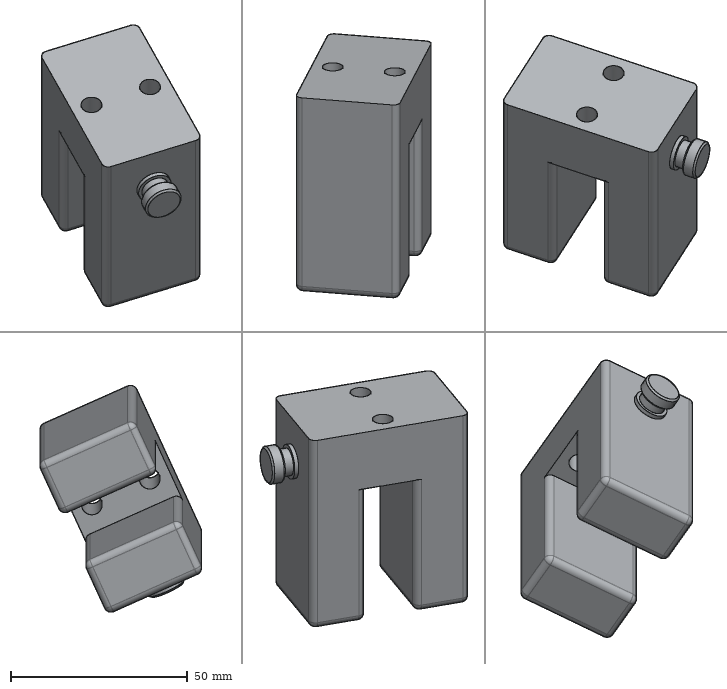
import cadquery as cq

body_length = 48.0
body_width = 30.0
body_height = 60.0
slot_width = 15.0
slot_height = 42.0
edge_radius = 2.0

hole_diameter = 5.9
hole_spacing = 18.0

knob_height = 46.6
collar_diameter = 10.0
collar_length = 1.2
neck_diameter = 8.0
neck_length = 2.8
head_diameter = 11.0
head_length = 3.95
head_chamfer = 0.55


def make_body():
    """Block split into two legs, rounded on its upright and bottom edges."""
    block = cq.Workplane("XY").box(body_length, body_width, body_height, centered=(True, True, False))
    slot = cq.Workplane("XY").box(slot_width, body_width, slot_height, centered=(True, True, False))
    fork = block.cut(slot)
    return fork.edges("|Z").fillet(edge_radius).faces("<Z").edges().fillet(edge_radius)


def make_holes():
    """Pair of drills passing from the top face into the slot."""
    return (
        cq.Workplane("XY")
        .workplane(offset=slot_height)
        .rarray(0.6, hole_spacing, 1, 2)
        .circle(hole_diameter / 2)
        .extrude(body_height - slot_height)
    )


def make_disc(start, diameter, length):
    """Cylinder on the knob axis, beginning at the given X."""
    return cq.Workplane("YZ", origin=(start, 0, knob_height)).circle(diameter / 2).extrude(length)


def make_knob():
    """Collar, neck and chamfered head stacked outward from the body."""
    collar_start = body_length / 2
    neck_start = collar_start + collar_length
    head_start = neck_start + neck_length
    collar = make_disc(collar_start, collar_diameter, collar_length)
    neck = make_disc(neck_start, neck_diameter, neck_length)
    head = make_disc(head_start, head_diameter, head_length).edges().chamfer(head_chamfer)
    return collar.union(neck).union(head)


result = make_body().cut(make_holes()).union(make_knob())